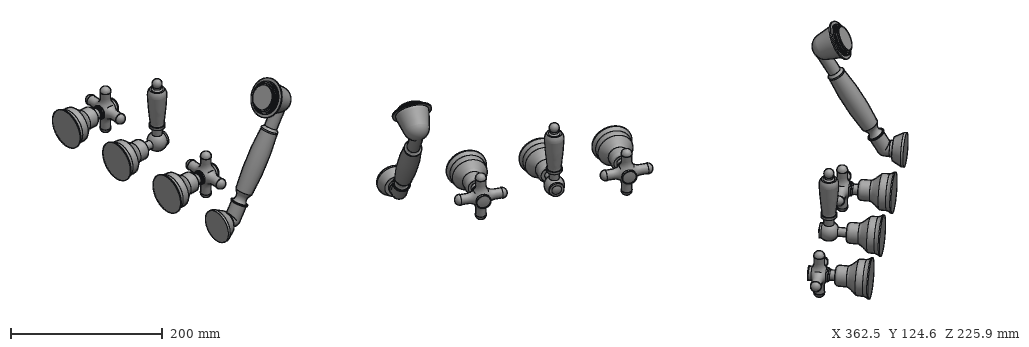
import cadquery as cq
import math

SPACING = 100.0

FLANGE_R = 27.5
FLANGE_EDGE = 1.6
LIP_R = 25.6
LIP_TOP = 4.5
SKIRT_R = 24.5
SKIRT_FOOT = 7.6
SKIRT_TOP = 14.4
SLOPE_FOOT_R = 24.0
SLOPE_FOOT = 17.6
WAIST_R = 15.7
WAIST_Y = 27.3
BARREL_R = 14.0
BARREL_FOOT = 30.8
BARREL_TOP = 41.6
BARREL_CROWN_R = 10.8
BARREL_END = 47.0
CROWN_MID_R = 13.2
CROWN_MID = 44.8

CROSS_Y = 69.0
CROSS_STEM_R = 7.0
HUB_R = 13.6
COLLAR_R = 9.6
COLLAR_END_R = 9.0
COLLAR_HALF_LENGTH = 11.5
COLLAR_END = 13.0
COLLAR_STEP_R = 7.6
COLLAR_STEP_END = 14.8
ARM_R = 6.9
ARM_FLARE_END = 18.8
CROSS_REACH = 36.0
ARM_BALL_R = 7.5
CAP_R = 10.0
CAP_NECK_R = 9.2
CAP_BASE = 13.4
CAP_TOP = 14.4
CAP_CROWN = 15.4

LEVER_Y = 71.5
LEVER_STEM_R = 6.0
LEVER_CAP_R = 10.2
LEVER_CAP_START = 9.0
LEVER_CAP_END = 11.8
LEVER_NECK_R = 6.8
LEVER_COLLAR_R = 10.6
LEVER_COLLAR_Z = 24.0
LEVER_COLLAR_TOP = 27.8
GRIP_FOOT_R = 9.3
GRIP_FOOT_Z = 30.5
GRIP_MAX_R = 13.0
GRIP_MAX_Z = 74.4
GRIP_SWELL = 0.5
SHOULDER_MID_R = 12.3
SHOULDER_MID_Z = 79.3
SHOULDER_R = 10.0
SHOULDER_Z = 83.2
FINIAL_RING_R = 7.8
FINIAL_RING_TOP = 85.4
FINIAL_NECK_R = 5.6
FINIAL_R = 6.8
FINIAL_Z = 92.0

BRACKET_R = 23.0
BRACKET_EDGE = 3.3
BRACKET_CONE_R = 22.0
BRACKET_CONE_FOOT = 5.3
BRACKET_CONE_TOP_R = 16.2
BRACKET_CONE_TOP = 16.1
BRACKET_NECK_R = 11.3
BRACKET_NECK_END = 20.2
ELBOW_R = 10.6
ELBOW_Y = 27.6
CUP_RIM_R = 11.8
CUP_RIM = 1.6
CUP_END = 24.5

HANDLE_LEAN = 30.0
TAIL_R = 9.9
TAIL_WAIST_R = 7.7
TAIL_WAIST = 32.5
TAIL_TOP_R = 9.6
TAIL_TOP = 36.5
HANDLE_END_R = 11.6
HANDLE_MAX_R = 14.0
HANDLE_START = 40.0
HANDLE_END = 128.5
FERRULE_R = 11.8
FERRULE_RIM_END = 130.6
FERRULE_STEP_R = 10.4
FERRULE_STEP = 131.8
FERRULE_END = 134.3
TUBE_R = 8.7

HEAD_ALONG_HANDLE = 174.0
DOME_R = 17.77
DOME_CENTRE = 8.98
HEAD_MOUTH_R = 22.5
HEAD_MOUTH = 27.5
RIM_R = 26.5
RIM_BACK = 30.7
RIM_FRONT = 32.56
SPRAY_TIERS = [(22.2, 34.5), (20.5, 36.2), (18.6, 38.2), (16.7, 40.0)]

TO_Z = 90.0
TO_HANDLE = 90.0 - HANDLE_LEAN
TO_HEAD = TO_HANDLE + 90.0


def start_at(height):
    """Start a half outline (radius, height) on the Y axis."""
    return cq.Workplane("XY").moveTo(0, height)


def turn(outline):
    """Close a half outline along the Y axis and turn it round that axis."""
    return outline.close().revolve(360, (0, 0, 0), (0, 1, 0))


def post(radius, start, end):
    """Plain cylinder along Y."""
    return turn(start_at(start).lineTo(radius, start).lineTo(radius, end).lineTo(0, end))


def tilt(shape, angle):
    """Swing a shape built along Y about the X axis."""
    return shape.rotate((0, 0, 0), (1, 0, 0), angle)


def valve_body():
    return turn(
        start_at(0)
        .lineTo(FLANGE_R, 0)
        .lineTo(FLANGE_R, FLANGE_EDGE)
        .lineTo(LIP_R, LIP_TOP)
        .lineTo(SKIRT_R, SKIRT_FOOT)
        .lineTo(SKIRT_R, SKIRT_TOP)
        .lineTo(SLOPE_FOOT_R, SLOPE_FOOT)
        .lineTo(WAIST_R, WAIST_Y)
        .lineTo(BARREL_R, BARREL_FOOT)
        .lineTo(BARREL_R, BARREL_TOP)
        .threePointArc((CROWN_MID_R, CROWN_MID), (BARREL_CROWN_R, BARREL_END))
        .lineTo(0, BARREL_END)
    )


def cross_arm():
    """Arm along Y from the hub centre: a flare tangent to the hub, a bar and a rounded end."""
    flare_r = (ARM_FLARE_END**2 + ARM_R**2 - HUB_R**2) / (2 * (HUB_R - ARM_R))
    flare_centre_r = ARM_R + flare_r
    hub_angle = math.atan2(flare_centre_r, ARM_FLARE_END)
    mid_angle = hub_angle / 2 + math.pi / 4
    hub_touch = (HUB_R * math.sin(hub_angle), HUB_R * math.cos(hub_angle))
    flare_mid = (
        flare_centre_r - flare_r * math.sin(mid_angle),
        ARM_FLARE_END - flare_r * math.cos(mid_angle),
    )
    ball_centre = CROSS_REACH - ARM_BALL_R
    return turn(
        start_at(0)
        .lineTo(*hub_touch)
        .threePointArc(flare_mid, (ARM_R, ARM_FLARE_END))
        .lineTo(ARM_R, ball_centre)
        .lineTo(ARM_BALL_R, ball_centre)
        .radiusArc((0, CROSS_REACH), -ARM_BALL_R)
    )


def cross_core():
    """Turned middle of the cross handle: collar, neck and domed end cap."""
    dome_rise = CAP_CROWN - CAP_TOP
    dome_r = (CAP_R**2 + dome_rise**2) / (2 * dome_rise)
    return turn(
        start_at(-COLLAR_STEP_END)
        .lineTo(COLLAR_STEP_R, -COLLAR_STEP_END)
        .lineTo(COLLAR_STEP_R, -COLLAR_END)
        .lineTo(COLLAR_END_R, -COLLAR_END)
        .lineTo(COLLAR_R, -COLLAR_HALF_LENGTH)
        .lineTo(COLLAR_R, COLLAR_HALF_LENGTH)
        .lineTo(CAP_NECK_R, COLLAR_END)
        .lineTo(CAP_NECK_R, CAP_BASE)
        .lineTo(CAP_R, CAP_BASE)
        .lineTo(CAP_R, CAP_TOP)
        .radiusArc((0, CAP_CROWN), -dome_r)
    )


def cross_tap():
    handle = cq.Workplane("XY").sphere(HUB_R).union(cross_core())
    upright_arm = tilt(cross_arm(), TO_Z)
    for quarter in range(4):
        handle = handle.union(upright_arm.rotate((0, 0, 0), (0, 1, 0), 90 * quarter))
    stem = post(CROSS_STEM_R, BARREL_FOOT, CROSS_Y)
    return valve_body().union(stem).union(handle.translate((0, CROSS_Y, 0)))


def lever_grip():
    """Turned grip along Y from the hub centre, up to the neck below its ball finial."""
    grip_mid = ((GRIP_FOOT_R + GRIP_MAX_R) / 2 + GRIP_SWELL, (GRIP_FOOT_Z + GRIP_MAX_Z) / 2)
    return turn(
        start_at(0)
        .lineTo(LEVER_NECK_R, 0)
        .lineTo(LEVER_NECK_R, LEVER_COLLAR_Z)
        .lineTo(LEVER_COLLAR_R, LEVER_COLLAR_Z)
        .lineTo(LEVER_COLLAR_R, LEVER_COLLAR_TOP)
        .lineTo(GRIP_FOOT_R, LEVER_COLLAR_TOP)
        .lineTo(GRIP_FOOT_R, GRIP_FOOT_Z)
        .threePointArc(grip_mid, (GRIP_MAX_R, GRIP_MAX_Z))
        .threePointArc((SHOULDER_MID_R, SHOULDER_MID_Z), (SHOULDER_R, SHOULDER_Z))
        .lineTo(FINIAL_RING_R, SHOULDER_Z)
        .lineTo(FINIAL_NECK_R, FINIAL_RING_TOP)
        .lineTo(FINIAL_NECK_R, FINIAL_Z)
        .lineTo(0, FINIAL_Z)
    )


def lever_tap():
    finial = cq.Workplane("XY").sphere(FINIAL_R).translate((0, 0, FINIAL_Z))
    lever = (
        cq.Workplane("XY")
        .sphere(HUB_R)
        .union(post(LEVER_CAP_R, LEVER_CAP_START, LEVER_CAP_END))
        .union(tilt(lever_grip(), TO_Z))
        .union(finial)
    )
    stem = post(LEVER_STEM_R, BARREL_FOOT, LEVER_Y)
    return valve_body().union(stem).union(lever.translate((0, LEVER_Y, 0)))


def bracket_base():
    return turn(
        start_at(0)
        .lineTo(BRACKET_R, 0)
        .lineTo(BRACKET_R, BRACKET_EDGE)
        .lineTo(BRACKET_CONE_R, BRACKET_CONE_FOOT)
        .lineTo(BRACKET_CONE_TOP_R, BRACKET_CONE_TOP)
        .lineTo(BRACKET_NECK_R, BRACKET_CONE_TOP)
        .lineTo(BRACKET_NECK_R, BRACKET_NECK_END)
        .lineTo(ELBOW_R, BRACKET_NECK_END)
        .lineTo(ELBOW_R, ELBOW_Y)
        .lineTo(0, ELBOW_Y)
    )


def shower_handle():
    """Bracket cup, swelling handle, ferrule and tube along Y from the elbow."""
    handle_mid = (HANDLE_MAX_R, (HANDLE_START + HANDLE_END) / 2)
    return turn(
        start_at(0)
        .lineTo(ELBOW_R, 0)
        .lineTo(ELBOW_R, CUP_END - CUP_RIM)
        .lineTo(CUP_RIM_R, CUP_END - CUP_RIM)
        .lineTo(CUP_RIM_R, CUP_END)
        .lineTo(TAIL_R, CUP_END)
        .threePointArc((TAIL_WAIST_R, TAIL_WAIST), (TAIL_TOP_R, TAIL_TOP))
        .lineTo(HANDLE_END_R, HANDLE_START)
        .threePointArc(handle_mid, (HANDLE_END_R, HANDLE_END))
        .lineTo(FERRULE_R, HANDLE_END)
        .lineTo(FERRULE_R, FERRULE_RIM_END)
        .lineTo(FERRULE_STEP_R, FERRULE_STEP)
        .lineTo(TUBE_R, FERRULE_END)
        .lineTo(TUBE_R, HEAD_ALONG_HANDLE)
        .lineTo(0, HEAD_ALONG_HANDLE)
    )


def shower_head():
    """Bell tangent to its dome, rim and stepped spray face along Y, measured from the handle axis."""
    mouth_offset = HEAD_MOUTH - DOME_CENTRE
    mouth_distance = math.hypot(HEAD_MOUTH_R, mouth_offset)
    bell_angle = math.atan2(HEAD_MOUTH_R, mouth_offset) + math.acos(DOME_R / mouth_distance)
    dome_rim = (DOME_R * math.sin(bell_angle), DOME_CENTRE + DOME_R * math.cos(bell_angle))
    outline = (
        start_at(DOME_CENTRE - DOME_R)
        .radiusArc(dome_rim, -DOME_R)
        .lineTo(HEAD_MOUTH_R, HEAD_MOUTH)
        .lineTo(HEAD_MOUTH_R, RIM_BACK)
        .lineTo(RIM_R, RIM_BACK)
        .lineTo(RIM_R, RIM_FRONT)
    )
    tier_back = RIM_FRONT
    for tier_r, tier_front in SPRAY_TIERS:
        outline = outline.lineTo(tier_r, tier_back).lineTo(tier_r, tier_front)
        tier_back = tier_front
    return turn(outline.lineTo(0, tier_back))


def hand_shower():
    lean = math.radians(HANDLE_LEAN)
    head_y = HEAD_ALONG_HANDLE * math.sin(lean)
    head_z = HEAD_ALONG_HANDLE * math.cos(lean)
    head = tilt(shower_head(), TO_HEAD).translate((0, head_y, head_z))
    leaning_part = cq.Workplane("XY").sphere(ELBOW_R).union(tilt(shower_handle(), TO_HANDLE)).union(head)
    return bracket_base().union(leaning_part.translate((0, ELBOW_Y, 0)))


cross_taps = [cross_tap().translate((place * SPACING, 0, 0)) for place in (0, 2)]
lever = lever_tap().translate((SPACING, 0, 0))
shower = hand_shower().translate((3 * SPACING, 0, 0))

fittings = [*cross_taps, lever, shower]
result = cq.Compound.makeCompound([fitting.solids().val() for fitting in fittings])